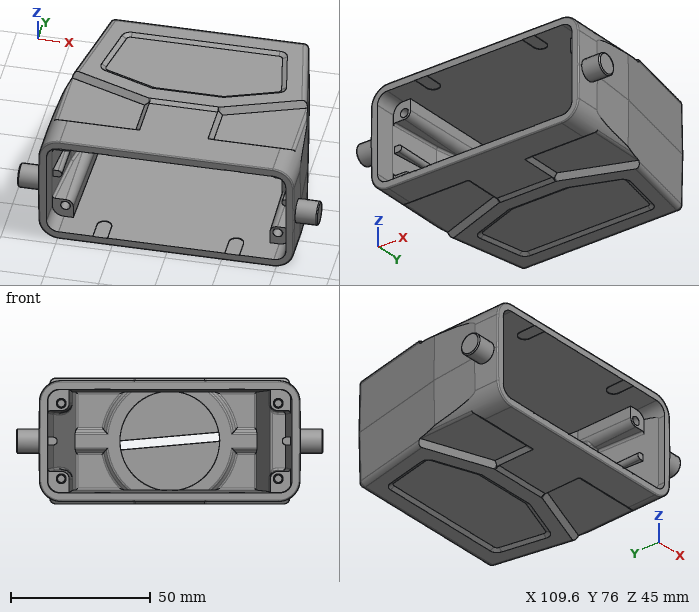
import cadquery as cq
import math


LENGTH = 76.0
HEIGHT = 45.0
BAND_HALF_Z = HEIGHT / 2
BASE_HALF_Z = 21.6
RIM_HALF_X = 46.8
WAIST_HALF_X = 44.9
BACK_HALF_X = 36.1
RIM_Y = 11.0
WAIST_Y = 31.9
DRAFT = 0.8
BASE_CORNER_R = 7.7
BASE_LENGTH = 43.8
BAND_EDGE_R = 2.0
RIM_EDGE_R = 0.4
BEYOND = 21.9

CHEVRON_X = 13.0
CHEVRON_Y = 31.2
CHEVRON_ANGLE = 20.0
BAND_RAMP = 1.9
POCKET_Z = 20.1
POCKET_X = 12.5
POCKET_Y = 13.0
POCKET_RAMP = 1.8
POCKET_CORNER_R = 0.9
POCKET_EDGE_R = 2.0

LABEL_SIDE_GAP = 8.0
LABEL_BACK_Y = 68.2
LABEL_FRONT_GAP = 5.9
LABEL_CORNER_R = 3.3
LABEL_RAMP = 1.8

PIN_D = 8.8
PIN_Y = 6.1
PIN_HALF_SPAN = 54.8
PIN_CHAMFER = 0.4
PIN_ROOT_X = 44.9

MOUTH_HALF_X = 43.7
MOUTH_HALF_Z = 18.5
MOUTH_CORNER_R = 4.4
CAVITY_DRAFT = 0.8
WALL = 3.4
FLOOR_Y = 72.7
FLOOR_EDGE_R = 0.7
SHELF_Y = 29.6
SHELF_X = 35.9
SHELF_OUTER_X = 41.3
SHELF_FLOOR_X = 30.9
SHELF_EDGE_R = 0.9

PAD_R = 22.2
PAD_BAR_HALF_Z = 2.4
PAD_RUN = 2.4
PAD_SLOPE = 53.0
PAD_EDGE_R = 0.9
ENTRY_D = 35.6
ENTRY_PLATE = 2.2
ENTRY_SLOT = 3.2
ENTRY_SLOT_ANGLE = 5.0

BOSS_Y = 9.3
BOSS_X = 35.9
BOSS_Z = 10.8
BOSS_CORNER_R = 2.7
BOSS_DRAFT = 1.2
BOSS_FOOT_R = 0.9
SCREW_X = 38.8
SCREW_Z = 13.5
SCREW_D = 3.5
SCREW_END_D = 2.6
SCREW_DEPTH = 15.3
RIB_Y = 9.6
RIB_X = 40.2
RIB_WIDTH = 2.7
GROOVE_X = 24.1
GROOVE_WIDTH = 5.4
GROOVE_LENGTH = 9.6
GROOVE_Z = 18.6

PAD_ARC_RUN = PAD_EDGE_R * math.sin(math.radians(PAD_SLOPE))
PAD_ARC_DROP = PAD_EDGE_R * (1 - math.cos(math.radians(PAD_SLOPE)))
PAD_HEIGHT = 2 * PAD_ARC_DROP + (PAD_RUN - 2 * PAD_ARC_RUN) * math.tan(math.radians(PAD_SLOPE))
SIDE_SLOPE = (WAIST_HALF_X - BACK_HALF_X) / (LENGTH - WAIST_Y)
FRONT_SLOPE = (RIM_HALF_X - WAIST_HALF_X) / (WAIST_Y - RIM_Y)
CHEVRON_SLOPE = math.tan(math.radians(CHEVRON_ANGLE))


def side_x(y):
    """Half width of the body behind the waist."""
    return WAIST_HALF_X - SIDE_SLOPE * (y - WAIST_Y)


def mirror_points(points):
    """Closed outline from its +X half, listed front to back."""
    return points + [(-x, y) for x, y in reversed(points)]


def both_z(solid):
    return solid.union(solid.mirror("XY"))


def front_plane(y):
    """Plane facing the rim: local x is X, local y is Z; extruding by -d goes d deeper."""
    return cq.Workplane("XZ", origin=(0, y, 0))


def ruled_frustum(lower, z_lower, upper, z_upper):
    frustum = cq.Workplane("XY", origin=(0, 0, z_lower)).polyline(lower).close()
    return frustum.workplane(offset=z_upper - z_lower).polyline(upper).close().loft(ruled=True)


def drafted_blank():
    """Tapered plan outline, drafted from the parting plane; its front end lies ahead of the rim."""
    front_x = RIM_HALF_X + FRONT_SLOPE * (RIM_Y + BEYOND)
    outline = mirror_points([(front_x, -BEYOND), (WAIST_HALF_X, WAIST_Y), (BACK_HALF_X, LENGTH)])
    return cq.Workplane("XY").polyline(outline).close().extrude(BAND_HALF_Z, taper=DRAFT)


def base_profile():
    """Upper half of a bar with the rounded rim section and a pocket on either side."""
    top_x = RIM_HALF_X - BASE_HALF_Z * math.tan(math.radians(DRAFT))
    section = [(RIM_HALF_X, 0), (top_x, BASE_HALF_Z), (-top_x, BASE_HALF_Z), (-RIM_HALF_X, 0)]
    bar = front_plane(0).polyline(section).close().extrude(-BASE_LENGTH)
    bar = bar.edges("|Y").edges(">Z").fillet(BASE_CORNER_R)
    low_top = cq.Workplane("XY").rect(2 * RIM_HALF_X, 2 * LENGTH).extrude(POCKET_Z)
    low_bar = bar.intersect(low_top).faces(">Z").edges("|Y").fillet(POCKET_EDGE_R)
    return bar.cut(pocket(1)).cut(pocket(-1)).union(low_bar)


def pocket(side):
    """Cutter with sloping walls; it reaches below the floor, which the low bar fills again."""
    def outline(inset):
        x0, x1 = side * (POCKET_X + inset), side * (RIM_HALF_X + BEYOND)
        y0, y1 = POCKET_Y + inset, LENGTH
        return [(x0, y0), (x1, y0), (x1, y1), (x0, y1)]
    frustum = ruled_frustum(outline(POCKET_RAMP), POCKET_Z, outline(0), BASE_HALF_Z)
    corner = cq.selectors.NearestToPointSelector((side * POCKET_X, POCKET_Y, (POCKET_Z + BASE_HALF_Z) / 2))
    frustum = frustum.edges("not #Z").edges(corner).fillet(POCKET_CORNER_R)
    sunk = cq.Workplane("XY", origin=(0, 0, POCKET_Z)).polyline(outline(POCKET_RAMP)).close()
    return frustum.union(sunk.extrude(-POCKET_EDGE_R))


def band_limit():
    """Region behind the chevron edge, sloping outward down to the pocket floor."""
    def outline(shift):
        far_x = RIM_HALF_X + BEYOND
        far_y = CHEVRON_Y + CHEVRON_SLOPE * (far_x - CHEVRON_X)
        return mirror_points([(CHEVRON_X, CHEVRON_Y - shift), (far_x, far_y - shift), (far_x, LENGTH + BEYOND)])
    foot = cq.Workplane("XY").polyline(outline(BAND_RAMP)).close().extrude(POCKET_Z)
    return foot.union(ruled_frustum(outline(BAND_RAMP), POCKET_Z, outline(0), BAND_HALF_Z))


def band_ramp():
    """Straight ramp from the middle of the band down to the base."""
    section = [
        (CHEVRON_Y, BAND_HALF_Z),
        (CHEVRON_Y - BAND_RAMP, BASE_HALF_Z),
        (CHEVRON_Y - BAND_RAMP, POCKET_Z),
        (CHEVRON_Y + BAND_RAMP, POCKET_Z),
        (CHEVRON_Y + BAND_RAMP, BAND_HALF_Z),
    ]
    return cq.Workplane("YZ").polyline(section).close().extrude(POCKET_X, both=True)


def label_recess():
    """Shallow recess with sloping walls, its outline parallel to the band's."""
    front_y = CHEVRON_Y + LABEL_FRONT_GAP
    depth = BAND_HALF_Z - BASE_HALF_Z
    back_x = side_x(LABEL_BACK_Y) - LABEL_SIDE_GAP
    reach = side_x(front_y) - LABEL_SIDE_GAP - CHEVRON_X
    corner_run = reach / (1 + SIDE_SLOPE * CHEVRON_SLOPE)
    corner = (CHEVRON_X + corner_run, front_y + CHEVRON_SLOPE * corner_run)
    outline = mirror_points([(CHEVRON_X, front_y), corner, (back_x, LABEL_BACK_Y)])
    prism = cq.Workplane("XY", origin=(0, 0, BAND_HALF_Z)).polyline(outline).close().extrude(-depth)
    outer_corners = cq.selectors.BoxSelector(
        (-RIM_HALF_X, front_y + LABEL_RAMP, 0), (RIM_HALF_X, LENGTH, BAND_HALF_Z))
    prism = prism.edges("|Z").edges(outer_corners).fillet(LABEL_CORNER_R)
    slope = math.degrees(math.atan2(LABEL_RAMP, depth))
    return prism.faces(">Z").wires().toPending().extrude(-depth, taper=slope, combine=False)


def outer_body():
    blank = drafted_blank()
    back_corners = blank.faces(">Y").edges("not #Z")
    band = blank.faces(">Z").edges("not <Y").add(back_corners).fillet(BAND_EDGE_R)
    base = blank.intersect(base_profile())
    band = band.intersect(band_limit())
    half = base.union(band).union(band_ramp()).cut(label_recess())
    body = both_z(half)
    return body.faces("<Y").edges().fillet(RIM_EDGE_R)


def pins():
    pin = cq.Workplane("YZ", origin=(PIN_ROOT_X, PIN_Y, 0)).circle(PIN_D / 2)
    pin = pin.extrude(PIN_HALF_SPAN - PIN_ROOT_X).faces(">X").chamfer(PIN_CHAMFER)
    return pin.union(pin.mirror("YZ"))


def cavity():
    waist_x = WAIST_HALF_X - WALL
    wide_x = waist_x + FRONT_SLOPE * (WAIST_Y + BEYOND)
    plan = [
        (SHELF_OUTER_X + FRONT_SLOPE * (SHELF_Y + BEYOND), -BEYOND),
        (SHELF_OUTER_X, SHELF_Y),
        (SHELF_X, SHELF_Y),
        (SHELF_FLOOR_X, FLOOR_Y),
        (-side_x(FLOOR_Y) + WALL, FLOOR_Y),
        (-waist_x, WAIST_Y),
        (-wide_x, -BEYOND),
    ]
    walls = cq.Workplane("XY").polyline(plan).close().extrude(BASE_HALF_Z, both=True)
    mouth = front_plane(0).sketch().rect(2 * MOUTH_HALF_X, 2 * MOUTH_HALF_Z)
    mouth = mouth.vertices().fillet(MOUTH_CORNER_R).finalize().extrude(-LENGTH, taper=CAVITY_DRAFT)
    shelf_edge = cq.selectors.NearestToPointSelector((SHELF_X, SHELF_Y, 0))
    walls = walls.edges("|Z").edges(shelf_edge).fillet(SHELF_EDGE_R)
    space = mouth.intersect(walls)
    return space.faces(">Y").edges().fillet(FLOOR_EDGE_R)


def pad_profile(flat):
    """Half section of the pad in X and Y, from its axis out over the flat top and down the slope."""
    top_y = FLOOR_Y - PAD_HEIGHT
    slope_start = (flat + PAD_ARC_RUN, top_y + PAD_ARC_DROP)
    slope_end = (flat + PAD_RUN - PAD_ARC_RUN, FLOOR_Y - PAD_ARC_DROP)
    foot = (flat + PAD_RUN, FLOOR_Y)
    profile = cq.Workplane("XY").moveTo(0, FLOOR_Y).lineTo(0, top_y).lineTo(flat, top_y)
    profile = profile.tangentArcPoint(slope_start, relative=False).lineTo(*slope_end)
    return profile.tangentArcPoint(foot, relative=False).close()


def entry_pad():
    """Raised ring and cross bar on the cavity floor, with rounded sloping sides."""
    ring = pad_profile(PAD_R).revolve(360, (0, 0, 0), (0, 1, 0))
    half_bar = pad_profile(PAD_BAR_HALF_Z).extrude(RIM_HALF_X, both=True)
    bar = half_bar.union(half_bar.mirror("YZ")).rotate((0, 0, 0), (0, 1, 0), 90)
    return ring.union(bar)


def entry_recess():
    """Round recess in the pad that leaves a plate at the back face."""
    top_y = FLOOR_Y - PAD_HEIGHT
    return front_plane(top_y).circle(ENTRY_D / 2).extrude(-(LENGTH - ENTRY_PLATE - top_y))


def entry_slot():
    """Slanted slot across the whole plate."""
    disc = front_plane(FLOOR_Y).circle(ENTRY_D / 2).extrude(-BEYOND)
    strip = front_plane(FLOOR_Y).transformed(rotate=(0, 0, ENTRY_SLOT_ANGLE))
    return strip.rect(2 * ENTRY_D, ENTRY_SLOT).extrude(-BEYOND).intersect(disc)


def four_corners(solid):
    pair = solid.union(solid.mirror("YZ"))
    return both_z(pair)


def screw_bosses():
    outer_x, outer_z = RIM_HALF_X + BEYOND, BASE_HALF_Z + BEYOND
    boss = front_plane(BOSS_Y).center((BOSS_X + outer_x) / 2, (BOSS_Z + outer_z) / 2).sketch()
    boss = boss.rect(outer_x - BOSS_X, outer_z - BOSS_Z).vertices().fillet(BOSS_CORNER_R).finalize()
    boss = boss.extrude(-LENGTH, taper=-BOSS_DRAFT)
    return four_corners(boss.cut(screw_hole()))


def screw_hole():
    """Slightly tapered blind hole."""
    slope = math.degrees(math.atan2((SCREW_D - SCREW_END_D) / 2, SCREW_DEPTH))
    mouth = front_plane(BOSS_Y).center(SCREW_X, SCREW_Z).circle(SCREW_D / 2)
    return mouth.extrude(-SCREW_DEPTH, taper=slope)


def wall_ribs():
    length = RIM_HALF_X + BEYOND - RIB_X
    rib = front_plane(RIB_Y).center(RIB_X + length / 2, 0).slot2D(length, RIB_WIDTH).extrude(-LENGTH)
    return rib.union(rib.mirror("YZ"))


def rim_grooves():
    """Shallow round-ended grooves in the upper and lower wall, open at the rim."""
    plane = cq.Workplane("XY").center(GROOVE_X, 0)
    groove = plane.slot2D(2 * GROOVE_LENGTH, GROOVE_WIDTH, 90).extrude(GROOVE_Z)
    return four_corners(groove)


def bossed_cavity():
    """Cavity less the screw bosses, with fillets where the bosses meet the end walls."""
    space = cavity().cut(screw_bosses())
    wall_x = WAIST_HALF_X - WALL
    feet = [
        edge for edge in space.edges().vals()
        if abs(abs(edge.Center().x) - wall_x) < BOSS_CORNER_R - BOSS_FOOT_R
        and BOSS_Z - BOSS_FOOT_R < abs(edge.Center().z) < BOSS_Z
        and edge.Center().y > BOSS_Y
    ]
    return space.newObject(feet).fillet(BOSS_FOOT_R)


hollow = bossed_cavity().cut(entry_pad()).cut(wall_ribs())

result = outer_body().union(pins()).cut(hollow)
for opening in (entry_recess(), entry_slot(), rim_grooves()):
    result = result.cut(opening)